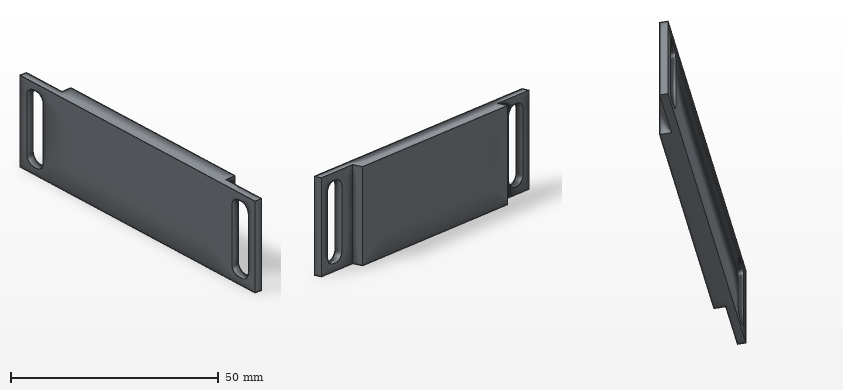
import cadquery as cq

plate_length = 86.0
plate_height = 25.0
total_thickness = 5.0
flange_thickness = 2.1
block_length = 60.0
slot_width = 6.0
slot_height = 21.0
slot_corner_radius = 2.5
slot_spacing = 75.0

plate = cq.Workplane("XY").box(
    plate_length, flange_thickness, plate_height, centered=(True, False, True)
)

block = cq.Workplane("XY").box(
    block_length, total_thickness, plate_height, centered=(True, False, True)
)

slots = (
    cq.Workplane("XY")
    .pushPoints([(-slot_spacing / 2, 0), (slot_spacing / 2, 0)])
    .box(slot_width, flange_thickness, slot_height, centered=(True, False, True))
    .edges("|Y")
    .fillet(slot_corner_radius)
)

result = plate.union(block).cut(slots)